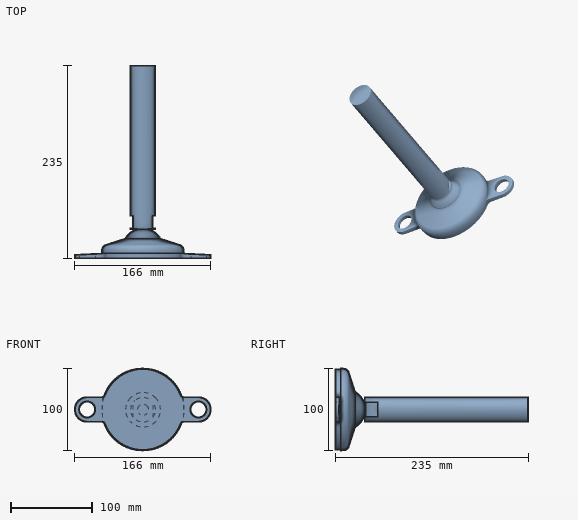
import cadquery as cq
import math

total_length = 235.0

pad_radius = 49.4
pad_height = 6.0
lug_span = 166.0
lug_radius = 15.0
lug_hole_radius = 9.6
lug_tip_height = 4.2
lug_root_height = 5.9
lug_root_fillet = 4.7

rim_radius = 50.0
rim_top = 9.2
shoulder_radius = 45.8
shoulder_height = 16.0
collar_radius = 21.2
collar_bottom = 24.0
collar_top = 25.4

dome_edge_radius = 20.5
dome_top = 36.5
stem_radius = 15.0
stem_bottom = 35.5
flat_width = 24.0
flat_bottom = 36.7
flat_top = 51.7

lug_center = lug_span / 2 - lug_radius


def ground_plane():
    """Plane at Y = 0 whose local axes are X, -Z and whose normal is +Y."""
    return cq.Workplane(cq.Plane(origin=(0, 0, 0), xDir=(1, 0, 0), normal=(0, 1, 0)))


def make_pad():
    """Round pad blended into two lugs whose tops slope down to the tips."""
    blend_y = lug_radius + lug_root_fillet
    blend_x = math.sqrt((pad_radius + lug_root_fillet) ** 2 - blend_y**2)
    pad_share = pad_radius / (pad_radius + lug_root_fillet)
    pad_x = blend_x * pad_share
    pad_y = blend_y * pad_share
    end_angle = math.atan2(blend_y, blend_x)
    mid_angle = (math.pi + end_angle + 3 * math.pi / 2) / 2
    mid_x = blend_x + lug_root_fillet * math.cos(mid_angle)
    mid_y = blend_y + lug_root_fillet * math.sin(mid_angle)
    tip = lug_span / 2
    outline = (
        ground_plane()
        .moveTo(-pad_x, pad_y)
        .threePointArc((0, pad_radius), (pad_x, pad_y))
        .threePointArc((mid_x, mid_y), (blend_x, lug_radius))
        .lineTo(lug_center, lug_radius)
        .threePointArc((tip, 0), (lug_center, -lug_radius))
        .lineTo(blend_x, -lug_radius)
        .threePointArc((mid_x, -mid_y), (pad_x, -pad_y))
        .threePointArc((0, -pad_radius), (-pad_x, -pad_y))
        .threePointArc((-mid_x, -mid_y), (-blend_x, -lug_radius))
        .lineTo(-lug_center, -lug_radius)
        .threePointArc((-tip, 0), (-lug_center, lug_radius))
        .lineTo(-blend_x, lug_radius)
        .threePointArc((-mid_x, mid_y), (-pad_x, pad_y))
        .close()
    )
    pad = outline.extrude(pad_height)
    slope = (
        cq.Workplane("XY")
        .polyline([
            (-tip, 0),
            (tip, 0),
            (tip, lug_tip_height),
            (pad_radius, lug_root_height),
            (pad_radius, pad_height),
            (-pad_radius, pad_height),
            (-pad_radius, lug_root_height),
            (-tip, lug_tip_height),
        ])
        .close()
        .extrude(pad_radius, both=True)
    )
    holes = (
        ground_plane()
        .pushPoints([(-lug_center, 0), (lug_center, 0)])
        .circle(lug_hole_radius)
        .extrude(pad_height)
    )
    return pad.intersect(slope).cut(holes)


def make_housing():
    """Rim, rounded shoulder, cone, collar and dome, revolved about Y."""
    dome_height = dome_top - collar_top
    dome_radius = (dome_edge_radius**2 + dome_height**2) / (2 * dome_height)
    dome_mid_x = dome_edge_radius / 2
    dome_mid_y = dome_top - dome_radius + math.sqrt(dome_radius**2 - dome_mid_x**2)
    return (
        cq.Workplane("XY")
        .moveTo(0, pad_height)
        .lineTo(rim_radius, pad_height)
        .lineTo(rim_radius, rim_top)
        .tangentArcPoint((shoulder_radius, shoulder_height), relative=False)
        .lineTo(collar_radius, collar_bottom)
        .lineTo(dome_edge_radius, collar_top)
        .threePointArc((dome_mid_x, dome_mid_y), (0, dome_top))
        .close()
        .revolve(360, (0, 0, 0), (0, 1, 0))
    )


def make_stem():
    """Plain round stem with two wrench flats facing -X and +X."""
    stem = ground_plane().workplane(offset=stem_bottom).circle(stem_radius)
    stem = stem.extrude(total_length - stem_bottom)
    flat_depth = stem_radius - flat_width / 2
    flat_length = flat_top - flat_bottom
    for side in (-1, 1):
        cutter = cq.Workplane("XY").box(flat_depth, flat_length, 2 * stem_radius)
        x = side * (flat_width + flat_depth) / 2
        stem = stem.cut(cutter.translate((x, flat_bottom + flat_length / 2, 0)))
    return stem


result = make_pad().union(make_housing()).union(make_stem())